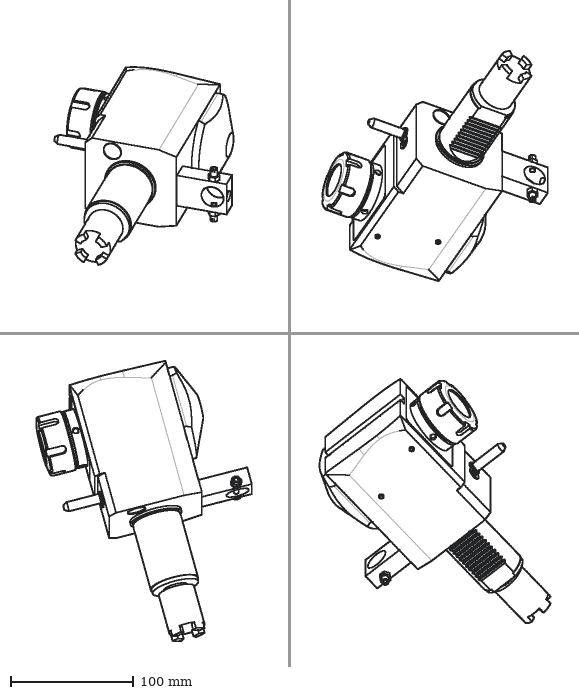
import cadquery as cq
import math


OVERALL_LENGTH = 220.8
BODY_HALF_WIDTH = 39.3
BODY_HALF_HEIGHT = 37.5
BODY_BACK = 116.0
SHOULDER_X = -42.0
SHOULDER_START = 35.3
SHOULDER_CHAMFER = 4.2
FRONT_CHAMFER = 6.0
SIDE_SLOPE_START = 24.0
SIDE_SLOPE = math.tan(math.radians(15))
NOTCH_WIDTH = 10.0
NOTCH_DEPTH = 4.6

ARCH_PEAK_X = -16.3
ARCH_PEAK_Z = 36.7
ARCH_LEFT_RADIUS = 103.8
ARCH_RIGHT_RADIUS = 243.0
ARCH_LINE_ANGLE = math.radians(4.5)
ARCH_LEFT_X = -66.3
ARCH_RIGHT_X = 66.3
ARCH_TAPER = 15

PLUG_X = -16.0
PLUG_Z = 27.8
PLUG_RADIUS = 7.5
PLUG_DEPTH = 0.9
PAD_LENGTH = 57.9
PAD_HEIGHT = 62.7
PAD_CORNER = 4.5
PAD_THICKNESS = 0.2
BOTTOM_SCREWS = [(-30.3, 88.3), (16.8, 71.8)]
BOTTOM_SCREW_RADIUS = 2.0
BOTTOM_SCREW_HEIGHT = 1.5

SPINDLE_Y = 80.0
NUT_FRONT = -74.6
NUT_BACK = -52.0
NUT_RADIUS = 25.0
NUT_FACE_RADIUS = 18.0
NUT_SHOULDER_RADIUS = 24.0
NUT_SHOULDER_X = -73.3
NUT_RIM_X = -72.0
NUT_BACK_CHAMFER = 1.0
NUT_BORE_RADIUS = 14.0
NUT_BORE_DEPTH = 1.3
NUT_SLOT_COUNT = 6
NUT_SLOT_WIDTH = 6.6
NUT_SLOT_END = -61.6
NUT_LONG_SLOT_END = -57.6
NUT_LONG_SLOTS = (1, 2)
NUT_SLOT_FLOOR = 21.6
NUT_GROOVE_RADIUS = 20.5
RING_RADIUS = 24.0
RING_FRONT = -50.1
RING_HOLE_COUNT = 4
RING_HOLE_X = -46.2
RING_HOLE_RADIUS = 2.5
RING_HOLE_DEPTH = 3.3

CAP_RADIUS = 40.0
CAP_CONE_START = 45.5
CAP_END = 59.2
CAP_END_RADIUS = 10.2
CAP_TOP_Y = 111.8
CAP_NECK_END = 41.5
CAP_HALF_HEIGHT = 33.1

FLANGE_RADIUS = 21.6
FLANGE_LENGTH = 2.2
SHANK_ROOT_RADIUS = 19.7
SHANK_ROOT_END = -3.3
SHANK_RADIUS = 20.0
SHANK_END = -63.4
SHANK_STEP_Y = -60.0
SHANK_STEP_RADIUS = 19.5
FLAT_Z = -15.7
FLAT_START = -9.0
CLAMP_GROOVE_PITCH = 4.0
CLAMP_GROOVE_COUNT = 10
CLAMP_GROOVE_DEPTH = 1.3
CLAMP_GROOVE_HALF_WIDTH = 1.8
CLAMP_GROOVE_FLOOR_HALF_WIDTH = 0.5
FIRST_CLAMP_GROOVE_Y = -11.3

NECK_RADIUS = 10.0
COUPLING_START = -66.5
COUPLING_END = -99.5
COUPLING_RADIUS = 15.0
LUG_TIP = BODY_BACK - OVERALL_LENGTH
LUG_COUNT = 4
LUG_INNER_RADIUS = 9.7
LUG_HALF_ANGLE = math.radians(20.3)

PIN_Y = 21.2
PIN_Z = 16.0
PIN_RADIUS = 4.0
PIN_TIP_X = -72.0
PIN_TIP_RADIUS = 2.0
PIN_CONE_X = -68.7
COLLAR_RADIUS = 5.5
COLLAR_THICKNESS = 2.2
COLLAR_CHAMFER = 0.9
SCREW_Z = 6.0
SCREW_RADIUS = 5.0
SCREW_HEIGHT = 1.0
SOCKET_ACROSS_CORNERS = 4.5

BRACKET_END = 82.0
BRACKET_FRONT = 1.3
BRACKET_BACK = 16.1
BRACKET_HALF_HEIGHT = 14.8
BRACKET_HOLE_X = 69.8
BRACKET_HOLE_RADIUS = 9.5
BOLT_Y = 5.5
BOLT_RADIUS = 2.9
BOLT_TIP_Z = 25.0
BOLT_NUT_ACROSS_CORNERS = 9.5
BOLT_NUT_HEIGHT = 4.0
CROSS_HOLE_Y = 6.6
CROSS_HOLE_RADIUS = 4.5
BOLT_SOCKET_ACROSS_CORNERS = 4.0
BOLT_SOCKET_DEPTH = 2.2
BOLT_POCKET_RADIUS = 2.2
BOLT_POCKET_Z = 10.2

OVERLAP = 2.2
HEX_SIDES = 6


def cylinder_x(radius, start, end, y, z):
    """Cylinder along X between two X positions."""
    return cq.Workplane("YZ", origin=(start, y, z)).circle(radius).extrude(end - start)


def revolve_x(profile, y, z):
    """Turn an (x, radius) profile about the line parallel to X through (y, z)."""
    return (cq.Workplane("XY", origin=(0, y, z)).polyline(profile).close()
            .revolve(360, (0, 0, 0), (1, 0, 0)))


def box(x_range, y_range, z_range):
    """Box between the given limits on each axis."""
    size = [limits[1] - limits[0] for limits in (x_range, y_range, z_range)]
    corner = (x_range[0], y_range[0], z_range[0])
    return cq.Workplane("XY").box(*size, centered=False).translate(corner)


def body_section(left_x, chamfer, y_start, y_end):
    """Body slice with 45 degree left corners and gently sloped right corners."""
    side_drop = (BODY_HALF_WIDTH - SIDE_SLOPE_START) * SIDE_SLOPE
    upper = [
        (left_x, BODY_HALF_HEIGHT - chamfer),
        (left_x + chamfer, BODY_HALF_HEIGHT),
        (SIDE_SLOPE_START, BODY_HALF_HEIGHT),
        (BODY_HALF_WIDTH, BODY_HALF_HEIGHT - side_drop),
    ]
    lower = [(x, -z) for x, z in reversed(upper)]
    return (cq.Workplane("XZ", origin=(0, y_end, 0)).polyline(upper + lower).close()
            .extrude(y_end - y_start))


def arch_envelope():
    """Prism with arched top and bottom that widens from the back face towards the front."""
    def left_arc(x):
        sag = ARCH_LEFT_RADIUS - math.sqrt(ARCH_LEFT_RADIUS**2 - (x - ARCH_PEAK_X)**2)
        return (x, ARCH_PEAK_Z - sag)

    def right_arc(angle):
        return (ARCH_PEAK_X + ARCH_RIGHT_RADIUS * math.sin(angle),
                ARCH_PEAK_Z - ARCH_RIGHT_RADIUS * (1 - math.cos(angle)))

    left_end = left_arc(ARCH_LEFT_X)
    left_mid = left_arc((ARCH_LEFT_X + ARCH_PEAK_X) / 2)
    peak = (ARCH_PEAK_X, ARCH_PEAK_Z)
    right_mid = right_arc(ARCH_LINE_ANGLE / 2)
    tangent = right_arc(ARCH_LINE_ANGLE)
    line_drop = (ARCH_RIGHT_X - tangent[0]) * math.tan(ARCH_LINE_ANGLE)
    right_end = (ARCH_RIGHT_X, tangent[1] - line_drop)

    def below(point):
        return (point[0], -point[1])

    return (cq.Workplane("XZ", origin=(0, BODY_BACK, 0))
            .moveTo(*left_end)
            .threePointArc(left_mid, peak)
            .threePointArc(right_mid, tangent)
            .lineTo(*right_end)
            .lineTo(*below(right_end))
            .lineTo(*below(tangent))
            .threePointArc(below(right_mid), below(peak))
            .threePointArc(below(left_mid), below(left_end))
            .close()
            .extrude(BODY_BACK, taper=-ARCH_TAPER))


def body():
    front = body_section(-BODY_HALF_WIDTH, FRONT_CHAMFER, 0, SHOULDER_START)
    rear = body_section(SHOULDER_X, SHOULDER_CHAMFER, SHOULDER_START, BODY_BACK)
    plug = cq.Workplane("XZ", origin=(PLUG_X, 0, PLUG_Z)).circle(PLUG_RADIUS).extrude(-PLUG_DEPTH)
    block = front.union(rear).intersect(arch_envelope()).cut(plug)

    pad = (cq.Workplane("YZ", origin=(SHOULDER_X - PAD_THICKNESS, SPINDLE_Y, 0))
           .rect(PAD_LENGTH, PAD_HEIGHT).extrude(PAD_THICKNESS + OVERLAP)
           .edges("|X").fillet(PAD_CORNER))
    block = block.union(pad)

    for x, y in BOTTOM_SCREWS:
        screw = (cq.Workplane("XY", origin=(x, y, OVERLAP - BODY_HALF_HEIGHT))
                 .circle(BOTTOM_SCREW_RADIUS).extrude(-OVERLAP - BOTTOM_SCREW_HEIGHT)
                 .faces("<Z").chamfer(BOTTOM_SCREW_HEIGHT / 2))
        block = block.union(screw)
    return block


def back_notch():
    """Slot across the full width of the back face."""
    return box((SHOULDER_X - OVERLAP, BODY_HALF_WIDTH + OVERLAP),
               (BODY_BACK - NOTCH_DEPTH, BODY_BACK + OVERLAP),
               (-NOTCH_WIDTH / 2, NOTCH_WIDTH / 2))


def nut_slot(slot_end):
    """Round-ended wrench slot in the rim of the nut, on its +Y side."""
    start = NUT_FRONT - OVERLAP
    round_x = slot_end - NUT_SLOT_WIDTH / 2
    depth = NUT_RADIUS - NUT_SLOT_FLOOR + OVERLAP
    half_width = NUT_SLOT_WIDTH / 2
    return (cq.Workplane("XZ", origin=(0, SPINDLE_Y + NUT_SLOT_FLOOR, 0))
            .moveTo(start, half_width)
            .lineTo(round_x, half_width)
            .threePointArc((slot_end, 0), (round_x, -half_width))
            .lineTo(start, -half_width)
            .close().extrude(-depth))


def spindle_nut():
    """Collet nut, groove and ring on the left side of the body."""
    profile = [
        (NUT_FRONT, 0),
        (NUT_FRONT, NUT_FACE_RADIUS),
        (NUT_SHOULDER_X, NUT_SHOULDER_RADIUS),
        (NUT_RIM_X, NUT_RADIUS),
        (NUT_BACK - NUT_BACK_CHAMFER, NUT_RADIUS),
        (NUT_BACK, NUT_RADIUS - NUT_BACK_CHAMFER),
        (NUT_BACK, NUT_GROOVE_RADIUS),
        (RING_FRONT, NUT_GROOVE_RADIUS),
        (RING_FRONT, RING_RADIUS),
        (SHOULDER_X + OVERLAP, RING_RADIUS),
        (SHOULDER_X + OVERLAP, 0),
    ]
    nut = revolve_x(profile, SPINDLE_Y, 0)
    nut = nut.cut(cylinder_x(NUT_BORE_RADIUS, NUT_FRONT, NUT_FRONT + NUT_BORE_DEPTH, SPINDLE_Y, 0))

    axis_start = (0, SPINDLE_Y, 0)
    axis_end = (1, SPINDLE_Y, 0)
    for i in range(NUT_SLOT_COUNT):
        slot_end = NUT_LONG_SLOT_END if i in NUT_LONG_SLOTS else NUT_SLOT_END
        slot = nut_slot(slot_end).rotate(axis_start, axis_end, i * 360 / NUT_SLOT_COUNT)
        nut = nut.cut(slot)

    hole_floor = SPINDLE_Y + RING_RADIUS - RING_HOLE_DEPTH
    hole = (cq.Workplane("XZ", origin=(RING_HOLE_X, hole_floor, 0))
            .circle(RING_HOLE_RADIUS).extrude(-RING_HOLE_DEPTH - OVERLAP))
    for i in range(RING_HOLE_COUNT):
        nut = nut.cut(hole.rotate(axis_start, axis_end, i * 360 / RING_HOLE_COUNT))
    return nut


def rear_cap():
    """Conical cap, cut flat at +Y and trimmed above and below in line with the body slopes."""
    cone = revolve_x([
        (BODY_HALF_WIDTH - OVERLAP, 0),
        (BODY_HALF_WIDTH - OVERLAP, CAP_RADIUS),
        (CAP_CONE_START, CAP_RADIUS),
        (CAP_END, CAP_END_RADIUS),
        (CAP_END, 0),
    ], SPINDLE_Y, 0)
    end_height = CAP_HALF_HEIGHT - (CAP_END - CAP_NECK_END) * SIDE_SLOPE
    upper = [
        (BODY_HALF_WIDTH - OVERLAP, CAP_HALF_HEIGHT),
        (CAP_NECK_END, CAP_HALF_HEIGHT),
        (CAP_END, end_height),
    ]
    lower = [(x, -z) for x, z in reversed(upper)]
    envelope = (cq.Workplane("XZ", origin=(0, CAP_TOP_Y, 0)).polyline(upper + lower).close()
                .extrude(2 * CAP_RADIUS))
    return cone.intersect(envelope)


def coupling_recess():
    """Space between the lugs: a round core with a tapered gap through each side."""
    tip_depth = COUPLING_END - LUG_TIP
    core = cq.Workplane("XZ", origin=(0, COUPLING_END, 0)).circle(LUG_INNER_RADIUS).extrude(tip_depth)
    half_gap = math.pi / LUG_COUNT - LUG_HALF_ANGLE
    reach = COUPLING_RADIUS + OVERLAP
    gap = (cq.Workplane("XZ", origin=(0, COUPLING_END, 0))
           .polyline([(0, 0), (reach, -reach * math.tan(half_gap)), (reach, reach * math.tan(half_gap))])
           .close().extrude(tip_depth))
    recess = core
    for i in range(LUG_COUNT):
        recess = recess.union(gap.rotate((0, 0, 0), (0, 1, 0), i * 360 / LUG_COUNT))
    return recess


def shank():
    """Flanged shank with a grooved clamping flat underneath."""
    profile = [
        (0, OVERLAP),
        (FLANGE_RADIUS, OVERLAP),
        (FLANGE_RADIUS, -FLANGE_LENGTH),
        (SHANK_ROOT_RADIUS, -FLANGE_LENGTH),
        (SHANK_ROOT_RADIUS, SHANK_ROOT_END),
        (SHANK_RADIUS, SHANK_ROOT_END),
        (SHANK_RADIUS, SHANK_STEP_Y),
        (SHANK_STEP_RADIUS, SHANK_STEP_Y),
        (SHANK_STEP_RADIUS, SHANK_END),
        (NECK_RADIUS, SHANK_END),
        (NECK_RADIUS, COUPLING_START),
        (COUPLING_RADIUS, COUPLING_START),
        (COUPLING_RADIUS, LUG_TIP),
        (0, LUG_TIP),
    ]
    turned = cq.Workplane("XY").polyline(profile).close().revolve(360, (0, 0, 0), (0, 1, 0))

    floor_z = -SHANK_RADIUS - OVERLAP
    outline = [(FLAT_START + FLAT_Z - floor_z, floor_z), (FLAT_START, FLAT_Z)]
    for i in range(CLAMP_GROOVE_COUNT):
        y = FIRST_CLAMP_GROOVE_Y - i * CLAMP_GROOVE_PITCH
        outline += [
            (y + CLAMP_GROOVE_HALF_WIDTH, FLAT_Z),
            (y + CLAMP_GROOVE_FLOOR_HALF_WIDTH, FLAT_Z + CLAMP_GROOVE_DEPTH),
            (y - CLAMP_GROOVE_FLOOR_HALF_WIDTH, FLAT_Z + CLAMP_GROOVE_DEPTH),
            (y - CLAMP_GROOVE_HALF_WIDTH, FLAT_Z),
        ]
    outline += [(SHANK_END, FLAT_Z), (SHANK_END, floor_z)]
    clamp_cut = (cq.Workplane("YZ").polyline(outline).close()
                 .extrude(FLANGE_RADIUS, both=True))
    return turned.cut(clamp_cut).cut(coupling_recess())


def locating_pin():
    """Pointed pin with a collar, and the socket screw just below it."""
    seat = -BODY_HALF_WIDTH + OVERLAP
    collar_face = -BODY_HALF_WIDTH - COLLAR_THICKNESS
    pin = revolve_x([
        (seat, 0),
        (seat, COLLAR_RADIUS),
        (collar_face + COLLAR_CHAMFER, COLLAR_RADIUS),
        (collar_face, COLLAR_RADIUS - COLLAR_CHAMFER),
        (collar_face, PIN_RADIUS),
        (PIN_CONE_X, PIN_RADIUS),
        (PIN_TIP_X, PIN_TIP_RADIUS),
        (PIN_TIP_X, 0),
    ], PIN_Y, PIN_Z)
    screw_face = -BODY_HALF_WIDTH - SCREW_HEIGHT
    screw = cylinder_x(SCREW_RADIUS, screw_face, seat, PIN_Y, SCREW_Z)
    socket = (cq.Workplane("YZ", origin=(screw_face, PIN_Y, SCREW_Z))
              .polygon(HEX_SIDES, SOCKET_ACROSS_CORNERS).extrude(OVERLAP))
    return pin.union(screw.cut(socket))


def bracket():
    """Side bar with a Y bore, an X cross hole and a nut and bolt above and below."""
    bar = box((BODY_HALF_WIDTH - OVERLAP, BRACKET_END),
              (BRACKET_FRONT, BRACKET_BACK),
              (-BRACKET_HALF_HEIGHT, BRACKET_HALF_HEIGHT))
    bolt = (cq.Workplane("XY", origin=(BRACKET_HOLE_X, BOLT_Y, -BOLT_TIP_Z))
            .circle(BOLT_RADIUS).extrude(2 * BOLT_TIP_Z))
    nut_tip = BRACKET_HALF_HEIGHT + BOLT_NUT_HEIGHT
    nuts = (cq.Workplane("XY", origin=(BRACKET_HOLE_X, BOLT_Y, -nut_tip))
            .polygon(HEX_SIDES, BOLT_NUT_ACROSS_CORNERS).extrude(2 * nut_tip))
    bore = (cq.Workplane("XZ", origin=(BRACKET_HOLE_X, BRACKET_BACK, 0))
            .circle(BRACKET_HOLE_RADIUS).extrude(BRACKET_BACK - BRACKET_FRONT + OVERLAP))
    cross_hole = cylinder_x(CROSS_HOLE_RADIUS, BRACKET_HOLE_X, BRACKET_END, CROSS_HOLE_Y, 0)
    bolt_pockets = (cq.Workplane("XY", origin=(BRACKET_HOLE_X, BOLT_Y, -BOLT_POCKET_Z))
                    .circle(BOLT_POCKET_RADIUS).extrude(2 * BOLT_POCKET_Z))
    side = bar.union(nuts).union(bolt).cut(bore).cut(cross_hole).cut(bolt_pockets)

    for socket_start in (-BOLT_TIP_Z, BOLT_TIP_Z - BOLT_SOCKET_DEPTH):
        socket = (cq.Workplane("XY", origin=(BRACKET_HOLE_X, BOLT_Y, socket_start))
                  .polygon(HEX_SIDES, BOLT_SOCKET_ACROSS_CORNERS).extrude(BOLT_SOCKET_DEPTH))
        side = side.cut(socket)
    return side


result = body().cut(back_notch()).union(rear_cap())
for feature in (spindle_nut(), shank(), locating_pin(), bracket()):
    result = result.union(feature)